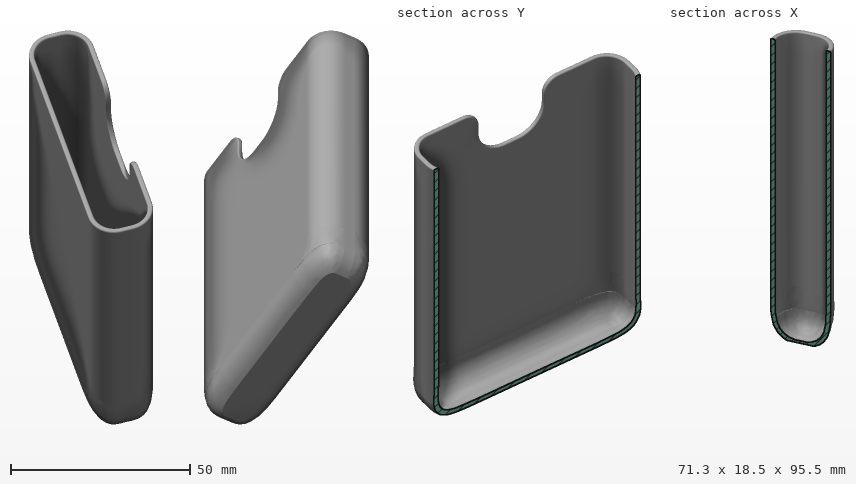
import cadquery as cq
import math

WIDTH = 71.3
DEPTH = 18.5
HEIGHT = 95.5

WALL = 1.5
EDGE_RADIUS = 7.5
SETBACK = 14.9
BASE_TRIM = 0.6
FLOOR_TRIM = 0.002
RIM_FILLET = 0.5

ROUND_HANDLE = 4 / 3 * math.tan(math.pi / 8)
FULL_HANDLE = 0.75
LEVELS_PER_LOFT = 6

NOTCH_WIDTH = 22.1
NOTCH_DEPTH = 16.8
NOTCH_BOTTOM_RADIUS = 8.8
NOTCH_RIM_RADIUS = 5.0

UNTRIMMED_BOTTOM = -BASE_TRIM
EDGE_TANGENT = UNTRIMMED_BOTTOM + EDGE_RADIUS
BLEND_TOP = UNTRIMMED_BOTTOM + SETBACK
BLEND_X = WIDTH / 2 - SETBACK
SIDE_FLAT_Y = DEPTH / 2 - EDGE_RADIUS
FACE_CORNER_RADIUS = SETBACK - EDGE_RADIUS


def level_outline(z, offset):
    """Closed outline at height z, at or below the blend top, of the body shrunk inward by offset."""
    below_tangent = max(EDGE_TANGENT - z, 0)
    above_tangent = max(z - EDGE_TANGENT, 0)
    inset = EDGE_RADIUS - math.sqrt((EDGE_RADIUS - offset) ** 2 - below_tangent**2)
    half_x = WIDTH / 2 - inset
    half_y = DEPTH / 2 - inset

    arc_drop = FACE_CORNER_RADIUS - above_tangent
    flat_x = BLEND_X + math.sqrt(FACE_CORNER_RADIUS**2 - arc_drop**2)

    rise = above_tangent / FACE_CORNER_RADIUS
    handle = FULL_HANDLE + (ROUND_HANDLE - FULL_HANDLE) * rise
    handle_x = flat_x + handle * (half_x - flat_x)
    handle_y = SIDE_FLAT_Y + handle * (half_y - SIDE_FLAT_Y)

    def corner(side_x, side_y):
        points = [(flat_x, half_y), (handle_x, half_y), (half_x, handle_y), (half_x, SIDE_FLAT_Y)]
        return [cq.Vector(side_x * x, side_y * y, z) for x, y in points]

    corners = [corner(1, -1), corner(1, 1)[::-1], corner(-1, 1), corner(-1, -1)[::-1]]
    edges = []
    for points, next_points in zip(corners, corners[1:] + corners[:1]):
        edges.append(cq.Edge.makeBezier(points))
        edges.append(cq.Edge.makeLine(points[-1], next_points[0]))
    return cq.Wire.assembleEdges(edges)


def loft_levels(heights, offset):
    """Smooth solid through the outlines at the given heights."""
    return cq.Workplane(cq.Solid.makeLoft([level_outline(z, offset) for z in heights]))


def rounded_body(bottom, offset):
    """Rounded block shrunk inward by offset, from a flat bottom up to the rim."""
    radius = EDGE_RADIUS - offset
    steps = [i / (LEVELS_PER_LOFT - 1) for i in range(LEVELS_PER_LOFT)]

    bottom_angle = math.asin((EDGE_TANGENT - bottom) / radius)
    base_heights = [EDGE_TANGENT - radius * math.sin(bottom_angle * (1 - step)) for step in steps]
    blend_heights = [BLEND_TOP - FACE_CORNER_RADIUS * math.cos(math.pi / 2 * step) for step in steps]

    straight = (
        cq.Workplane("XY", origin=(0, 0, BLEND_TOP))
        .rect(WIDTH - 2 * offset, DEPTH - 2 * offset)
        .extrude(HEIGHT - BLEND_TOP)
        .edges("|Z")
        .fillet(radius)
    )
    return loft_levels(base_heights, offset).union(loft_levels(blend_heights, offset)).union(straight)


def thumb_notch():
    """Cutter for the back wall, with rounded bottom corners and a flared mouth at the rim."""
    half = NOTCH_WIDTH / 2
    mouth = half + NOTCH_RIM_RADIUS
    floor = HEIGHT - NOTCH_DEPTH
    floor_half = half - NOTCH_BOTTOM_RADIUS
    wall_low = floor + NOTCH_BOTTOM_RADIUS
    wall_high = HEIGHT - NOTCH_RIM_RADIUS
    return (
        cq.Workplane("XZ", origin=(0, DEPTH, 0))
        .moveTo(-mouth, HEIGHT)
        .radiusArc((-half, wall_high), NOTCH_RIM_RADIUS)
        .lineTo(-half, wall_low)
        .radiusArc((-floor_half, floor), -NOTCH_BOTTOM_RADIUS)
        .lineTo(floor_half, floor)
        .radiusArc((half, wall_low), -NOTCH_BOTTOM_RADIUS)
        .lineTo(half, wall_high)
        .radiusArc((mouth, HEIGHT), NOTCH_RIM_RADIUS)
        .close()
        .extrude(DEPTH)
    )


outer = rounded_body(0, 0)
cavity = rounded_body(UNTRIMMED_BOTTOM + WALL + FLOOR_TRIM, WALL)
sleeve = outer.cut(cavity).cut(thumb_notch())

result = sleeve.edges(">Z").fillet(RIM_FILLET)